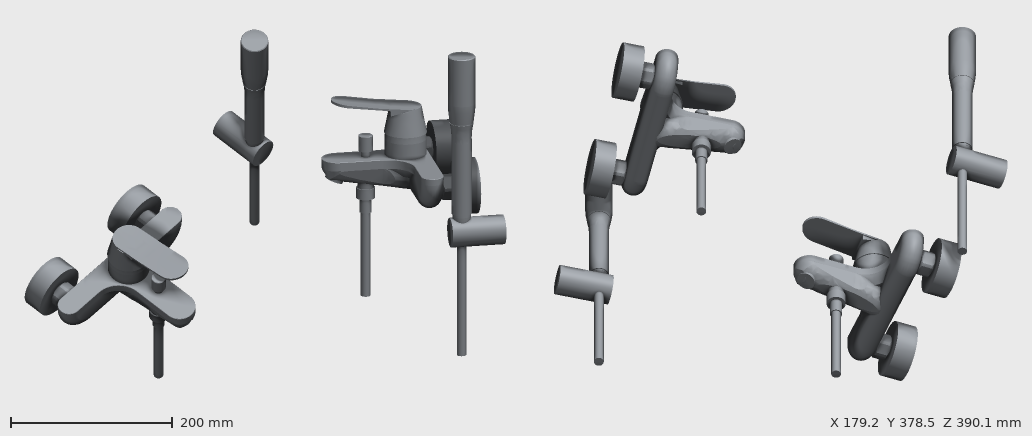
import cadquery as cq
import math


set_top = 229.8
hose_bottom = -160.28
hose_radius = 12.0 / 2
slab_width = 160.0

inlet_spacing = 150.0
flange_radius = 70.0 / 2
flange_depth = 26.0
nut_across_flats = 30.0
nut_corner_radius = 16.3
nut_chamfer = 2.2
nut_turns = {-1: 0.0, 1: 34.0}

bar_back = 44.0
bar_width = 28.5
bar_radius = bar_width / 2
bar_axis_x = bar_back + bar_radius
bar_front = bar_back + bar_width
bar_half_length = 106.0
body_top = 21.5
body_bottom = -27.0
bar_round_z = body_bottom + bar_radius
bend_radius = 40.0 - bar_radius
deck_chamfer = 0.5

spout_tip = 179.18
spout_radius = 20.0
spout_end_x = spout_tip - spout_radius
neck_radius = 33.0
spout_root_x = bar_back + 1.0
rim_bottom = 10.0
underside_taper = 14.0
underside_depth = 36.0
flare_taper = 35.0
flare_depth = 12.0
keel_rise = math.radians(10.3)
keel_depth = 20.0
keel_tip_z = 16.0
keel_wall = 60.0
underside_root = (68.0, -24.6)
underside_middle = (98.0, -16.6)
underside_lip = (157.0, -9.5)
underside_tip = (172.0, -2.0)

aerator_radius = 23.0 / 2
aerator_x = 164.0
aerator_z = -7.0
aerator_tilt = 22.0
aerator_height = 12.0

lever_axis_x = 73.5
collar_radius = 26.0
collar_shoulder_z = 41.5
cone_bottom_z = 50.2
collar_top_radius = 25.4
cone_bottom_radius = 26.7
cone_top_radius = 20.0
lever_back_z = 84.0
lever_tip_x = 167.2
lever_tip_z = 97.7
lever_tip_thickness = 3.4
lever_root_x = 95.5
lever_root_underside_z = 84.5
lever_end_radius = 20.0
neck_inset = 1.5
cone_cut_axis_z = 82.0
cone_cut_front_z = 77.2
lever_tip_slope = (1.0, 0.13)

outlet_x = 123.9
knob_radius = 18.0 / 2
knob_bottom = 29.0
knob_top = 49.0
knob_chamfer = 0.6
knob_stem_radius = 11.2 / 2
outlet_radius = 20.5 / 2
outlet_bottom = -19.0
nut_radius = 23.6 / 2
nut_bottom = -32.6
sleeve_radius = 15.0 / 2
sleeve_bottom = -51.2

holder_y = 250.0
holder_radius = 37.0 / 2
holder_length = 67.5
shower_x = 53.0
head_radius = 34.16 / 2
head_bottom = 168.4
head_chamfer = 1.0
waist_radius = 29.6 / 2
waist_z = 143.3
waist_slope = (0.2, 1.0)
groove_width = 1.2
groove_depth = 0.5
groove_bottom = waist_z - groove_width / 2
groove_top = waist_z + groove_width / 2
grip_radius = 25.16 / 2
grip_top = 118.5
grip_bottom = 24.5
collet_radius = 23.0 / 2
cone_nut_top = 21.5
cone_nut_top_radius = 22.79 / 2
cone_nut_bottom = -10.0
cone_nut_bottom_radius = 20.5 / 2


def slab_plane():
    """XZ plane from which an outline extruded by slab_width spans the mixer evenly about Y = 0."""
    return cq.Workplane("XZ", origin=(0, slab_width / 2, 0))


def rod(x, y, radius, z_low, z_high):
    """Upright cylinder between two levels."""
    return cq.Workplane("XY", origin=(x, y, z_low)).circle(radius).extrude(z_high - z_low)


def bar_centre_line():
    """Centre line of the bar edge: down one end, along the bottom and up the other end."""
    end_y = bar_half_length - bar_radius
    turn_y = end_y - bend_radius
    turn_z = bar_round_z + bend_radius
    inset = bend_radius * math.sqrt(0.5)
    return (
        cq.Workplane("YZ", origin=(bar_axis_x, 0, 0))
        .moveTo(-end_y, body_top)
        .lineTo(-end_y, turn_z)
        .threePointArc((-turn_y - inset, turn_z - inset), (-turn_y, bar_round_z))
        .lineTo(turn_y, bar_round_z)
        .threePointArc((turn_y + inset, turn_z - inset), (end_y, turn_z))
        .lineTo(end_y, body_top)
    )


def bar():
    """Upright slab edged by a round pipe that bends about its lower corners."""
    pipe_start = (bar_axis_x, bar_radius - bar_half_length, body_top)
    pipe = cq.Workplane("XY", origin=pipe_start).circle(bar_radius).sweep(bar_centre_line().wire())
    core = bar_centre_line().close().extrude(bar_radius, both=True)
    return pipe.union(core)


def spout_outline(z):
    """Spout in plan: it flares out of the bar and ends in a half circle."""
    flare_y = spout_radius + neck_radius
    flare_x = bar_front + neck_radius
    mid = neck_radius * (1 - math.sqrt(0.5))
    return (
        cq.Workplane("XY", origin=(0, 0, z))
        .moveTo(spout_root_x, -flare_y)
        .lineTo(bar_front, -flare_y)
        .threePointArc((bar_front + mid, -spout_radius - mid), (flare_x, -spout_radius))
        .lineTo(spout_end_x, -spout_radius)
        .threePointArc((spout_tip, 0), (spout_end_x, spout_radius))
        .lineTo(flare_x, spout_radius)
        .threePointArc((bar_front + mid, spout_radius + mid), (bar_front, flare_y))
        .lineTo(spout_root_x, flare_y)
        .close()
    )


def keel():
    """Rising trough with straight walls and a half-elliptic bottom."""
    plane = cq.Plane(
        origin=(spout_tip, 0, keel_tip_z),
        xDir=(0, 1, 0),
        normal=(-math.cos(keel_rise), 0, -math.sin(keel_rise)),
    )
    profile = (
        cq.Workplane(plane)
        .moveTo(-spout_radius, 0)
        .lineTo(-spout_radius, -keel_wall)
        .lineTo(spout_radius, -keel_wall)
        .lineTo(spout_radius, 0)
        .ellipseArc(spout_radius, keel_depth, 0, 180, startAtCurrent=True)
        .close()
    )
    return profile.extrude(spout_tip - bar_back)


def spout():
    """Straight rim above a tapered underside that rises toward the tip, with a tilted aerator."""
    rim = spout_outline(rim_bottom).extrude(body_top - rim_bottom)
    taper = spout_outline(rim_bottom).extrude(-underside_depth, taper=underside_taper)
    flare = spout_outline(rim_bottom).extrude(-flare_depth, taper=flare_taper)
    side = (
        slab_plane()
        .moveTo(bar_back, rim_bottom)
        .lineTo(bar_back, underside_root[1])
        .lineTo(*underside_root)
        .threePointArc(underside_middle, underside_lip)
        .threePointArc(underside_tip, (spout_tip, rim_bottom))
        .close()
        .extrude(slab_width)
    )
    underside = taper.intersect(keel()).union(flare).intersect(side)
    aerator = (
        cq.Workplane("XY")
        .circle(aerator_radius)
        .extrude(aerator_height)
        .rotate((0, 0, 0), (0, 1, 0), -aerator_tilt)
        .translate((aerator_x, 0, aerator_z))
    )
    return rim.union(underside).union(aerator)


def wall_connection(side):
    """Round wall flange and hexagon nut of one inlet; side is -1 or 1."""
    y = side * inlet_spacing / 2
    flange = cq.Workplane("YZ", origin=(0, y, 0)).circle(flange_radius).extrude(flange_depth)
    length = bar_back - flange_depth
    hexagon = (
        cq.Workplane("YZ", origin=(flange_depth, y, 0))
        .transformed(rotate=(0, 0, 90 + nut_turns[side]))
        .polygon(6, nut_across_flats / math.cos(math.pi / 6))
        .extrude(length)
    )
    turned = (
        cq.Workplane("YZ", origin=(flange_depth, y, 0))
        .circle(nut_corner_radius)
        .extrude(length)
        .faces("<X or >X")
        .chamfer(nut_chamfer)
    )
    return flange.union(hexagon.intersect(turned))


def collar():
    """Turned cartridge collar that narrows at its top."""
    base = rod(lever_axis_x, 0, collar_radius, body_top, collar_shoulder_z)
    dome = (
        cq.Workplane("XY", origin=(lever_axis_x, 0, collar_shoulder_z))
        .circle(collar_radius)
        .workplane(offset=cone_bottom_z - collar_shoulder_z)
        .circle(collar_top_radius)
        .loft()
    )
    return base.union(dome)


def lever_plan(half_width):
    """Upright prism with the lever's long round-ended outline."""
    back_x = lever_axis_x - lever_end_radius
    return (
        cq.Workplane("XY", origin=((back_x + lever_tip_x) / 2, 0, cone_bottom_z))
        .slot2D(lever_tip_x - back_x, 2 * half_width)
        .extrude(set_top - cone_bottom_z)
    )


def lever():
    """Tapered cap that carries a rising, round-ended handle plate."""
    back_x = lever_axis_x - lever_end_radius
    cone = (
        cq.Workplane("XY", origin=(lever_axis_x, 0, cone_bottom_z))
        .circle(cone_bottom_radius)
        .workplane(offset=lever_back_z - cone_bottom_z)
        .circle(cone_top_radius)
        .loft()
    )
    cap_side = (
        slab_plane()
        .moveTo(0, 0)
        .lineTo(0, lever_back_z)
        .lineTo(lever_axis_x, lever_back_z)
        .lineTo(lever_axis_x, cone_cut_axis_z)
        .lineTo(lever_root_x, cone_cut_front_z)
        .lineTo(spout_tip, cone_cut_front_z)
        .lineTo(spout_tip, 0)
        .close()
        .extrude(slab_width)
    )
    neck_side = (
        slab_plane()
        .moveTo(lever_axis_x, cone_cut_axis_z)
        .lineTo(lever_root_x, cone_cut_front_z)
        .lineTo(lever_root_x, lever_root_underside_z)
        .lineTo(lever_axis_x, lever_back_z)
        .close()
        .extrude(slab_width)
    )
    handle_side = (
        slab_plane()
        .moveTo(back_x, lever_back_z)
        .spline([(lever_tip_x, lever_tip_z)], tangents=[(1, 0), lever_tip_slope], includeCurrent=True)
        .lineTo(lever_tip_x, lever_tip_z - lever_tip_thickness)
        .lineTo(lever_root_x, lever_root_underside_z)
        .lineTo(lever_axis_x, cone_cut_axis_z)
        .lineTo(lever_axis_x, lever_back_z)
        .close()
        .extrude(slab_width)
    )
    handle = handle_side.intersect(lever_plan(lever_end_radius))
    neck = neck_side.intersect(lever_plan(lever_end_radius - neck_inset))
    return cone.intersect(cap_side).union(neck).union(handle)


def diverter():
    """Pull knob on its stem above the spout."""
    stem = rod(outlet_x, 0, knob_stem_radius, rim_bottom, knob_bottom)
    knob = rod(outlet_x, 0, knob_radius, knob_bottom, knob_top).faces(">Z").chamfer(knob_chamfer)
    return stem.union(knob)


def make_mixer():
    mixer = bar().union(spout()).faces(">Z").chamfer(deck_chamfer)
    for side in (-1, 1):
        mixer = mixer.union(wall_connection(side))
    outlet = rod(outlet_x, 0, outlet_radius, outlet_bottom, rim_bottom)
    return mixer.union(outlet).union(collar()).union(lever()).union(diverter())


def make_outlet_hose():
    """Hose with union nut and crimp sleeve, hanging below the mixer."""
    nut = rod(outlet_x, 0, nut_radius, nut_bottom, outlet_bottom)
    sleeve = rod(outlet_x, 0, sleeve_radius, sleeve_bottom, nut_bottom)
    hose = rod(outlet_x, 0, hose_radius, hose_bottom, sleeve_bottom)
    return nut.union(sleeve).union(hose)


def turned_at_shower(profile):
    """Turn a profile of radius against height about the hand shower axis."""
    return profile.close().revolve(360, (0, 0, 0), (0, 1, 0)).translate((shower_x, holder_y, 0))


def make_shower_hose():
    """Hose with a conical nut that rests in the holder and meets the hand shower."""
    return turned_at_shower(
        cq.Workplane("XZ")
        .moveTo(0, hose_bottom)
        .lineTo(hose_radius, hose_bottom)
        .lineTo(hose_radius, cone_nut_bottom)
        .lineTo(cone_nut_bottom_radius, cone_nut_bottom)
        .lineTo(cone_nut_top_radius, cone_nut_top)
        .lineTo(collet_radius, cone_nut_top)
        .lineTo(collet_radius, grip_bottom)
        .lineTo(0, grip_bottom)
    )


def make_hand_shower():
    """Slim grip that swells past a grooved waist into the cylindrical head."""
    return turned_at_shower(
        cq.Workplane("XZ")
        .moveTo(0, grip_bottom)
        .lineTo(grip_radius, grip_bottom)
        .lineTo(grip_radius, grip_top)
        .spline([(waist_radius, groove_bottom)], tangents=[(0, 1), waist_slope], includeCurrent=True)
        .lineTo(waist_radius - groove_depth, groove_bottom)
        .lineTo(waist_radius - groove_depth, groove_top)
        .lineTo(waist_radius, groove_top)
        .spline([(head_radius, head_bottom)], tangents=[waist_slope, (0, 1)], includeCurrent=True)
        .lineTo(head_radius, set_top - head_chamfer)
        .lineTo(head_radius - head_chamfer, set_top)
        .lineTo(0, set_top)
    )


def make_holder(seated_hose):
    """Round wall peg with a conical seat that fits the hose nut."""
    peg = cq.Workplane("YZ", origin=(0, holder_y, 0)).circle(holder_radius).extrude(holder_length)
    return peg.cut(seated_hose)


mixer = make_mixer()
outlet_hose = make_outlet_hose()
shower_hose = make_shower_hose()
hand_shower = make_hand_shower()
holder = make_holder(shower_hose)

result = cq.Compound.makeCompound(
    [mixer.val(), outlet_hose.val(), shower_hose.val(), hand_shower.val(), holder.val()]
)